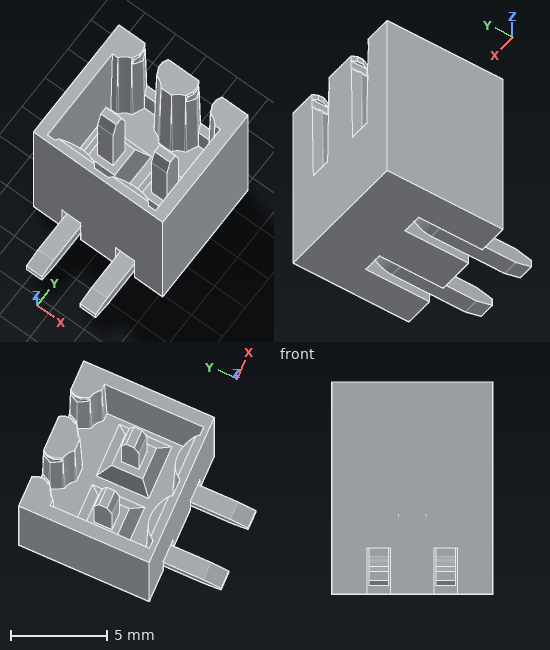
import cadquery as cq
import math


WIDTH = 8.4
DEPTH = 7.43
HEIGHT = 11.05
PITCH = 3.49
PIN_XS = (-PITCH / 2, PITCH / 2)
FLOOR_Z = 3.09
OVERCUT = 0.55

DRAFT = 1.0
CAVITY_HALF_WIDTH = 3.5
CAVITY_FRONT_Y = 0.3
CAVITY_BACK_Y = 5.93
RIB_HALF_WIDTH = 1.29
RIB_APEX_Y = 0.98

LOBE_HALF_WIDTH = 1.4
LOBE_MID_HALF_WIDTH = 1.13
LOBE_MID_Y = 6.2
FLANK_HALF_WIDTH = 0.81
FLANK_Y = 6.34
NECK_HALF_WIDTH = 0.53
NECK_Y = 6.94
FLANK_SLOPE = (FLANK_HALF_WIDTH - NECK_HALF_WIDTH) / (NECK_Y - FLANK_Y)

LEAD_IN_Y = 0.48
LEAD_IN_RUN = 0.83
LEAD_IN_DROP = 1.44

WEB_TOP_Z = 4.97

MOUTH_HALF_WIDTH = 0.61
GROOVE_HALF_WIDTH = 0.77
GROOVE_TOP_Z = 10.69
GROOVE_BOTTOM_Z = 9.89
GROOVE_RADIUS = 0.38

PIN_SIZE = 1.01
PIN_Y = 3.48
PIN_TOP_Z = 9.89
TAIL_Z = 0.95
TAIL_REACH = 3.23
TIP_LENGTH = 1.02
TIP_THICKNESS = 0.46
BEND_INNER_RADIUS = 0.51

COLLAR_BASE = 2.98
COLLAR_TOP = 1.77
COLLAR_HEIGHT = 1.33

CHANNEL_WIDTH = 1.22
CHANNEL_HEIGHT = 2.42
CHANNEL_CLEARANCE = 0.1


def slab(x_min, x_max, y_min, y_max, z_min, z_max):
    size = (x_max - x_min, y_max - y_min, z_max - z_min)
    return cq.Workplane("XY").box(*size, centered=False).translate((x_min, y_min, z_min))


def cavity():
    """Drafted cavity with front ribs and back openings; its side walls are upright."""
    outer_x = CAVITY_HALF_WIDTH + OVERCUT
    exit_y = DEPTH + OVERCUT
    exit_half_width = NECK_HALF_WIDTH + FLANK_SLOPE * (exit_y - NECK_Y)

    outline = cq.Workplane("XY", origin=(0, 0, HEIGHT)).moveTo(-outer_x, CAVITY_FRONT_Y)
    for x in PIN_XS:
        outline = outline.lineTo(x - RIB_HALF_WIDTH, CAVITY_FRONT_Y)
        outline = outline.threePointArc((x, RIB_APEX_Y), (x + RIB_HALF_WIDTH, CAVITY_FRONT_Y))
    outline = outline.lineTo(outer_x, CAVITY_FRONT_Y).lineTo(outer_x, CAVITY_BACK_Y)
    for x in reversed(PIN_XS):
        outline = (
            outline.lineTo(x + LOBE_HALF_WIDTH, CAVITY_BACK_Y)
            .threePointArc((x + LOBE_MID_HALF_WIDTH, LOBE_MID_Y), (x + FLANK_HALF_WIDTH, FLANK_Y))
            .lineTo(x + NECK_HALF_WIDTH, NECK_Y)
            .lineTo(x + exit_half_width, exit_y)
            .lineTo(x - exit_half_width, exit_y)
            .lineTo(x - NECK_HALF_WIDTH, NECK_Y)
            .lineTo(x - FLANK_HALF_WIDTH, FLANK_Y)
            .threePointArc((x - LOBE_MID_HALF_WIDTH, LOBE_MID_Y), (x - LOBE_HALF_WIDTH, CAVITY_BACK_Y))
        )
    drafted = outline.lineTo(-outer_x, CAVITY_BACK_Y).close().extrude(FLOOR_Z - HEIGHT, taper=DRAFT)
    return drafted.intersect(
        slab(-CAVITY_HALF_WIDTH, CAVITY_HALF_WIDTH, 0, exit_y, FLOOR_Z, HEIGHT)
    )


def lead_in():
    """Sloped cut over the top of both front ribs."""
    end_y = LEAD_IN_Y + LEAD_IN_RUN
    profile = [(LEAD_IN_Y, HEIGHT), (end_y, HEIGHT - LEAD_IN_DROP), (end_y, HEIGHT)]
    return cq.Workplane("YZ").polyline(profile).close().extrude(CAVITY_HALF_WIDTH, both=True)


def web(x):
    """Low wall across the foot of a back opening, with a drafted front face."""
    lean = (WEB_TOP_Z - FLOOR_Z) * math.tan(math.radians(DRAFT))
    profile = [(NECK_Y - lean, FLOOR_Z), (DEPTH, FLOOR_Z), (DEPTH, WEB_TOP_Z), (NECK_Y, WEB_TOP_Z)]
    wall = cq.Workplane("YZ").polyline(profile).close().extrude(FLANK_HALF_WIDTH, both=True)
    return wall.translate((x, 0, 0))


def latch_cut(x):
    """Relief between two posts: a straight mouth above a wider groove with rounded lower corners."""
    back_y = DEPTH + OVERCUT
    mouth = slab(-MOUTH_HALF_WIDTH, MOUTH_HALF_WIDTH, FLANK_Y, back_y, GROOVE_TOP_Z, HEIGHT)
    groove = slab(
        -GROOVE_HALF_WIDTH, GROOVE_HALF_WIDTH, FLANK_Y, back_y, GROOVE_BOTTOM_Z, GROOVE_TOP_Z
    )
    groove = groove.faces("<Z").edges("|Y").fillet(GROOVE_RADIUS)
    return mouth.union(groove).translate((x, 0, 0))


def collar(x):
    base = cq.Workplane("XY", origin=(x, PIN_Y, FLOOR_Z)).rect(COLLAR_BASE, COLLAR_BASE)
    return base.workplane(offset=COLLAR_HEIGHT).rect(COLLAR_TOP, COLLAR_TOP).loft()


def channel(x):
    half = CHANNEL_WIDTH / 2
    back_y = PIN_Y + PIN_SIZE / 2 + CHANNEL_CLEARANCE
    return slab(x - half, x + half, -OVERCUT, back_y, -OVERCUT, CHANNEL_HEIGHT)


def pin(x):
    """Square pin bent forward through a right angle, tapered at both ends."""
    half = PIN_SIZE / 2
    tip_half = TIP_THICKNESS / 2
    outer_radius = BEND_INNER_RADIUS + PIN_SIZE
    front_y = PIN_Y - half
    back_y = PIN_Y + half
    top_z = TAIL_Z + half
    bottom_z = TAIL_Z - half
    taper_z = PIN_TOP_Z - TIP_LENGTH
    taper_y = TIP_LENGTH - TAIL_REACH
    profile = (
        cq.Workplane("YZ")
        .moveTo(-TAIL_REACH, TAIL_Z + tip_half)
        .lineTo(taper_y, top_z)
        .lineTo(front_y - BEND_INNER_RADIUS, top_z)
        .radiusArc((front_y, top_z + BEND_INNER_RADIUS), -BEND_INNER_RADIUS)
        .lineTo(front_y, taper_z)
        .lineTo(PIN_Y - tip_half, PIN_TOP_Z)
        .lineTo(PIN_Y + tip_half, PIN_TOP_Z)
        .lineTo(back_y, taper_z)
        .lineTo(back_y, bottom_z + outer_radius)
        .radiusArc((back_y - outer_radius, bottom_z), outer_radius)
        .lineTo(taper_y, bottom_z)
        .lineTo(-TAIL_REACH, TAIL_Z - tip_half)
        .close()
    )
    return profile.extrude(half, both=True).translate((x, 0, 0))


result = slab(-WIDTH / 2, WIDTH / 2, 0, DEPTH, 0, HEIGHT).cut(cavity()).cut(lead_in())
for pin_x in PIN_XS:
    result = result.union(web(pin_x)).cut(latch_cut(pin_x)).cut(channel(pin_x))
    result = result.union(collar(pin_x)).union(pin(pin_x))